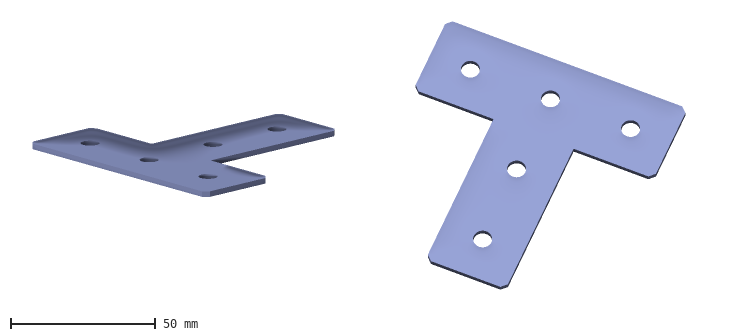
import cadquery as cq

span = 90.0
thickness = 2.0
corner_chamfer = 2.0
hole_diameter = 6.6

cell = span / 3

crossbar = cq.Workplane("XY").box(span, cell, thickness, centered=(True, False, False))
stem = cq.Workplane("XY").box(cell, span, thickness, centered=(True, False, False))


def chamfer_corners(body, face):
    """Cut the two upright corners at the ends of the given side face."""
    return body.faces(face).edges("|Z").chamfer(corner_chamfer)


crossbar = chamfer_corners(crossbar, "<X")
crossbar = chamfer_corners(crossbar, ">X")
stem = chamfer_corners(stem, ">Y")
plate = crossbar.union(stem).clean()

crossbar_centers = [(column * cell, cell / 2) for column in (-1, 0, 1)]
stem_centers = [(0, (row + 0.5) * cell) for row in (1, 2)]

holes = (
    cq.Workplane("XY")
    .pushPoints(crossbar_centers + stem_centers)
    .circle(hole_diameter / 2)
    .extrude(thickness)
)

result = plate.cut(holes)